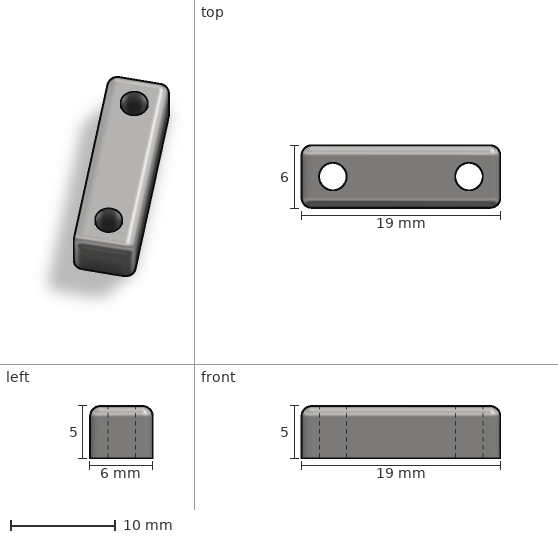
import cadquery as cq

length = 19.0
width = 6.0
height = 5.0
edge_radius = 1.0

hole_diameter = 2.6
hole_spacing = 13.0

block = (
    cq.Workplane("XY")
    .box(length, width, height, centered=(True, True, False))
    .edges("|Z or >Z")
    .fillet(edge_radius)
)

result = (
    block.faces(">Z")
    .workplane(origin=(0, 0, height))
    .pushPoints([(-hole_spacing / 2, 0), (hole_spacing / 2, 0)])
    .hole(hole_diameter)
)